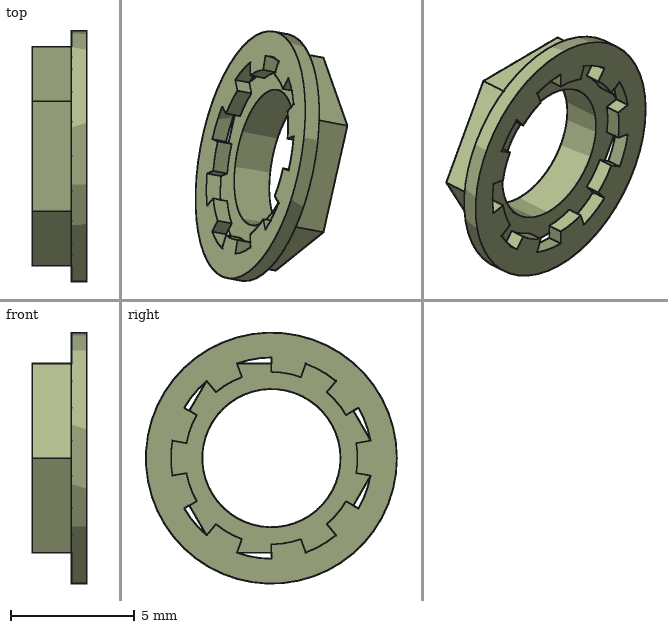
import cadquery as cq
import math

outer_diameter = 10.2
total_length = 2.22
washer_thickness = 0.63
nut_length = total_length - washer_thickness

across_flats = 7.7
across_corners = across_flats / math.cos(math.radians(30))
bore_diameter = 5.6

tooth_tip_radius = 3.5
recess_radius = 4.08
recess_count = 9
recess_pitch = 360 / recess_count
recess_angle = recess_pitch / 2
first_recess_center = recess_angle


def make_nut():
    """Hexagonal nut with two corners on the Y axis and a round through bore."""
    return (
        cq.Workplane("YZ")
        .polygon(6, across_corners)
        .circle(bore_diameter / 2)
        .extrude(nut_length)
    )


def make_recess(center_angle):
    """Sector that widens the washer bore to the recess radius."""

    def rim_point(angle):
        radians = math.radians(angle)
        return recess_radius * math.cos(radians), recess_radius * math.sin(radians)

    return (
        cq.Workplane("YZ", origin=(nut_length, 0, 0))
        .lineTo(*rim_point(center_angle - recess_angle / 2))
        .threePointArc(rim_point(center_angle), rim_point(center_angle + recess_angle / 2))
        .close()
        .extrude(washer_thickness)
    )


def make_washer():
    """Round washer against the nut's back face, with recesses around its bore."""
    washer = (
        cq.Workplane("YZ", origin=(nut_length, 0, 0))
        .circle(outer_diameter / 2)
        .circle(tooth_tip_radius)
        .extrude(washer_thickness)
    )
    for index in range(recess_count):
        washer = washer.cut(make_recess(first_recess_center + index * recess_pitch))
    return washer


nut = make_nut()
washer = make_washer()

result = cq.Compound.makeCompound([nut.val(), washer.val()])